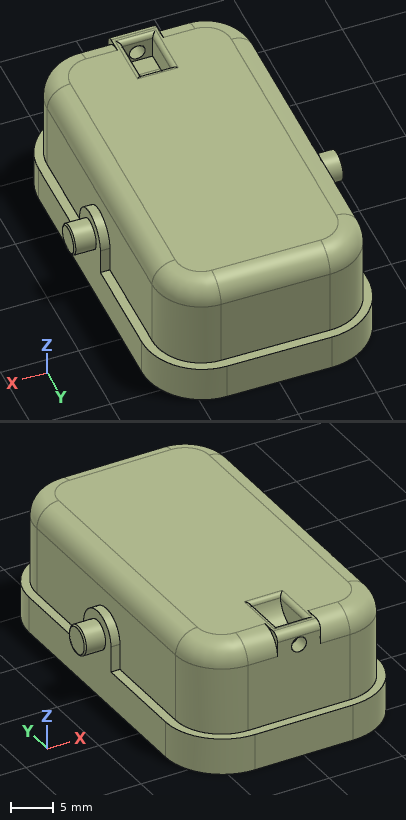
import cadquery as cq
import math

base_width = 29.0
base_length = 48.0
base_height = 4.95
base_corner_radius = 7.8

total_height = 17.0
hood_width = 26.55
hood_length = 45.6
hood_corner_radius = 6.3
hood_top_radius = 3.0

pin_span = 34.6
pin_radius = 1.95
pin_end_chamfer = 0.2
pin_axis_height = 8.45
boss_radius = 3.25

tab_width = 5.9
tab_edge_radius = 1.05

pocket_width = 3.95
pocket_back_y = -14.9
pocket_front_y = -20.8
pocket_lip_radius = 0.6
scoop_radius = 3.5
cord_hole_radius = 1.0
cord_hole_depth_below_top = 2.2

hood_front_y = -hood_length / 2
pocket_middle_y = (pocket_back_y + pocket_front_y) / 2


def rounded_block(width, length, height, corner_radius):
    """Block on the XY plane with rounded vertical corners."""
    return cq.Workplane("XY").rect(width, length).extrude(height).edges("|Z").fillet(corner_radius)


def pin_bosses():
    """Both bosses as one plate through the hood, flush with the base sides."""
    upright = cq.Workplane("XY").box(
        base_width, 2 * boss_radius, pin_axis_height, centered=(True, True, False)
    )
    round_top = (
        cq.Workplane("YZ")
        .center(0, pin_axis_height)
        .circle(boss_radius)
        .extrude(base_width / 2, both=True)
    )
    return upright.union(round_top)


def locking_pins():
    """Both pins as one bar through the part, chamfered at its ends."""
    return (
        cq.Workplane("YZ")
        .center(0, pin_axis_height)
        .circle(pin_radius)
        .extrude(pin_span / 2, both=True)
        .faces("<X or >X")
        .chamfer(pin_end_chamfer)
    )


def front_tab():
    """Tab that fills out the rounded top edge of the hood to a tighter radius."""
    tab_length = -hood_front_y + pocket_front_y + hood_top_radius
    return (
        cq.Workplane("XY", origin=(0, hood_front_y, total_height))
        .box(tab_width, tab_length, hood_top_radius, centered=(True, False, False))
        .translate((0, 0, -hood_top_radius))
        .edges(">Z and <Y")
        .fillet(tab_edge_radius)
    )


def cut_pocket(body):
    """Pocket whose quarter-round back sweeps down to a flat floor, with a rounded lip on top."""
    floor_z = total_height - scoop_radius
    floor_end_y = pocket_back_y - scoop_radius
    arc_offset = scoop_radius * math.sqrt(0.5)
    arc_middle = (floor_end_y + arc_offset, total_height - arc_offset)
    pocket = (
        cq.Workplane("YZ")
        .moveTo(pocket_front_y, total_height)
        .lineTo(pocket_back_y, total_height)
        .threePointArc(arc_middle, (floor_end_y, floor_z))
        .lineTo(pocket_front_y, floor_z)
        .close()
        .extrude(pocket_width / 2, both=True)
    )
    margin = pocket_lip_radius / 2
    opening = cq.selectors.BoxSelector(
        (-pocket_width / 2 - margin, pocket_front_y - margin, total_height - margin),
        (pocket_width / 2 + margin, pocket_back_y + margin, total_height + margin),
    )
    return body.cut(pocket).edges(opening).fillet(pocket_lip_radius)


def cord_hole():
    """Hole through the front wall into the pocket."""
    hole_z = total_height - cord_hole_depth_below_top
    return (
        cq.Workplane("XZ", origin=(0, pocket_middle_y, hole_z))
        .circle(cord_hole_radius)
        .extrude(pocket_middle_y - hood_front_y)
    )


base = rounded_block(base_width, base_length, base_height, base_corner_radius)
hood = rounded_block(hood_width, hood_length, total_height, hood_corner_radius)
hood = hood.faces(">Z").edges().fillet(hood_top_radius)

hood = cut_pocket(hood.union(front_tab())).cut(cord_hole())
result = base.union(hood).union(pin_bosses()).union(locking_pins())